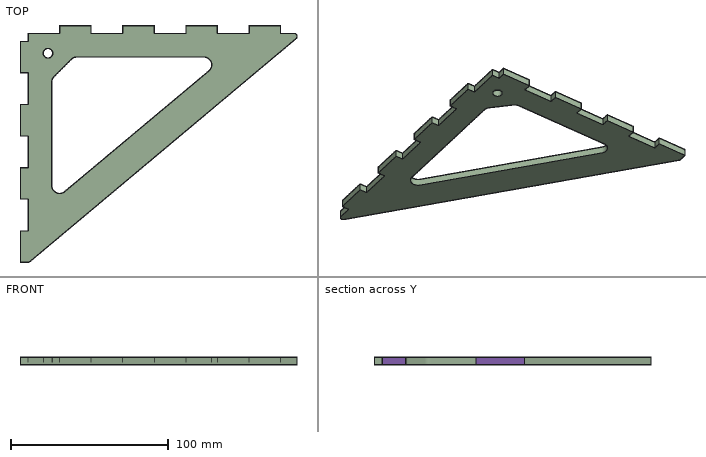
import cadquery as cq
import math

length = 175.5
height = 150.0
thickness = 5.0

tab_width = 20.0
tab_depth = 5.0
tab_pitch = 2 * tab_width
tab_count = 4
first_top_tab_x = 25.0

tip_radius = 2.0

frame_width = 20.0
window_radius = 5.0
window_right_center_x = 116.4
window_bottom_center_y = -101.5
window_bevel_offset = 35.8

hole_diameter = 6.0
hole_inset = 17.5

lower_center = (tab_depth, tip_radius - height)
right_center = (length - tip_radius, -tab_depth - tip_radius)
slope_angle = math.atan2(right_center[1] - lower_center[1], right_center[0] - lower_center[0])


def point_on_tip(center, angle):
    return (center[0] + tip_radius * math.cos(angle), center[1] + tip_radius * math.sin(angle))


def make_body():
    """Right-angled plate with a rounded tip at each end of its sloping edge."""
    down = -math.pi / 2
    up = math.pi / 2
    slope_normal = slope_angle + down
    return (
        cq.Workplane("XY")
        .moveTo(tab_depth, -tab_depth)
        .lineTo(tab_depth, -height)
        .threePointArc(
            point_on_tip(lower_center, (down + slope_normal) / 2),
            point_on_tip(lower_center, slope_normal),
        )
        .lineTo(*point_on_tip(right_center, slope_normal))
        .threePointArc(
            point_on_tip(right_center, (slope_normal + up) / 2),
            point_on_tip(right_center, up),
        )
        .close()
        .extrude(thickness)
    )


def make_block(x, y, size_x, size_y):
    """Plate-thick block with its lower left corner at (x, y)."""
    return cq.Workplane("XY").box(size_x, size_y, thickness, centered=False).translate((x, y, 0))


def make_window():
    """Four-sided opening with a bevelled inner corner and rounded corners."""
    near_center = frame_width + window_radius
    return (
        cq.Workplane("XY")
        .polyline([
            (near_center, window_bottom_center_y),
            (window_right_center_x, -near_center),
            (window_bevel_offset, -near_center),
            (near_center, -window_bevel_offset),
        ])
        .close()
        .offset2D(window_radius, "arc")
        .extrude(thickness)
    )


def make_hole():
    return (
        cq.Workplane("XY")
        .center(hole_inset, -hole_inset)
        .circle(hole_diameter / 2)
        .extrude(thickness)
    )


result = make_body()
for index in range(tab_count):
    tab_offset = index * tab_pitch
    result = result.union(make_block(first_top_tab_x + tab_offset, -tab_depth, tab_width, tab_depth))
    result = result.union(make_block(0, tab_offset - height, tab_depth, tab_width))
result = result.cut(make_window()).cut(make_hole())